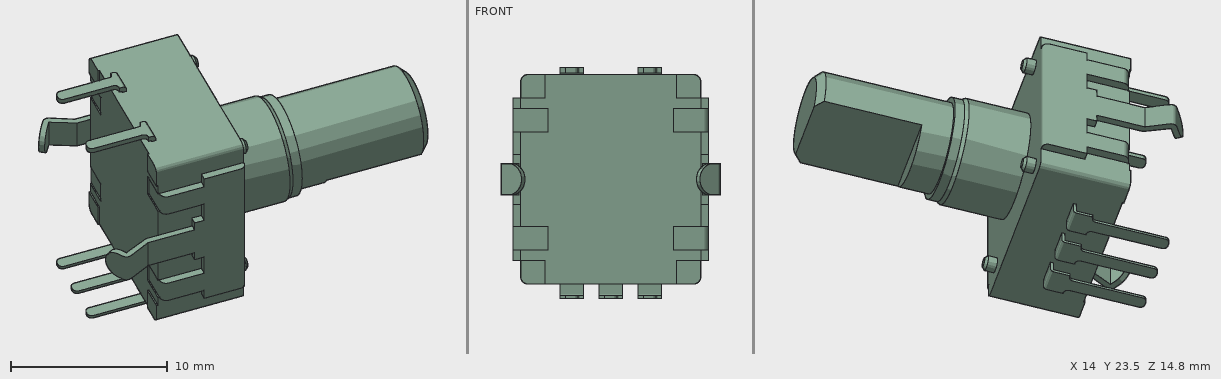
import cadquery as cq
import math


overall_width = 14.0
overall_depth = 23.5

embed = 0.47

shaft_radius = 3.0
shaft_end = 14.0
shaft_chamfer = 0.5
flat_start = 7.0
flat_offset = 1.5
bushing_radius = 3.5
bushing_end = 4.11
collar_radius = 3.35
collar_start = 4.37
collar_end = 5.0

body_width = 11.52
body_height = 13.4
body_depth = 6.0
body_corner_radius = 0.5
pad_rise = 0.1
pad_width = 1.55
base_depth = body_depth - pad_rise

post_radius = 0.5
post_height = 0.8
post_chamfer = 0.19
post_x = 4.2
post_z = 5.1

sheet = 0.5
cover_half_width = body_width / 2 + sheet
cover_half_height = 5.2
cover_edge_radius = 0.4
skirt_depth = 2.91

tab_width = 1.5
tab_z = 3.75
tab_depth = 5.8
tab_inner_x = 4.0
tab_bend_radius = 0.45

leg_width = 2.0
leg_root_width = 3.2
leg_root_depth = 3.57
leg_straight_depth = 6.77
leg_thickness = 0.4
leg_elbow_x = overall_width / 2 - leg_thickness
leg_elbow_y = -8.41
leg_toe_angle = 33.5

pin_end = overall_depth - shaft_end
pin_pitch = 2.5
pin_width = 0.8
pin_root_width = 1.5
pin_neck_radius = 0.28
pin_tip_radius = 0.33


def box(x_range, y_range, z_range):
    """Box between the given limits on each axis."""
    limits = (x_range, y_range, z_range)
    sizes = [high - low for low, high in limits]
    corner = cq.Vector(*[low for low, high in limits])
    return cq.Workplane(cq.Solid.makeBox(*sizes, corner))


def make_shaft():
    """Turned bushing, collar and shaft, with a flat along the free end of the shaft."""
    turned = (
        cq.Workplane("XY")
        .moveTo(0, -embed)
        .lineTo(bushing_radius, -embed)
        .lineTo(bushing_radius, bushing_end)
        .lineTo(collar_radius, collar_start)
        .lineTo(collar_radius, collar_end)
        .lineTo(shaft_radius, collar_end)
        .lineTo(shaft_radius, shaft_end - shaft_chamfer)
        .lineTo(shaft_radius - shaft_chamfer, shaft_end)
        .lineTo(0, shaft_end)
        .close()
        .revolve(360, (0, 0, 0), (0, 1, 0))
    )
    below_flat = box(
        (-shaft_radius, shaft_radius),
        (flat_start, shaft_end),
        (-shaft_radius, -flat_offset),
    )
    return turned.cut(below_flat)


def make_body():
    """Rounded block whose base is sunk except for a pad at each corner."""
    block = (
        cq.Workplane("XZ")
        .rect(body_width, body_height)
        .extrude(body_depth)
        .edges("|Y")
        .fillet(body_corner_radius)
    )
    half_width = body_width / 2
    inner_x = half_width - pad_width
    sunk_y = (-body_depth, -base_depth)
    upright = box((-inner_x, inner_x), sunk_y, (-body_height / 2, body_height / 2))
    across = box((-half_width, half_width), sunk_y, (-cover_half_height, cover_half_height))
    return block.cut(upright).cut(across)


def make_post(x, z):
    """Chamfered locating post standing on the mounting face."""
    return (
        cq.Workplane("XZ", origin=(x, 0, z))
        .circle(post_radius)
        .extrude(-post_height)
        .faces(">Y")
        .chamfer(post_chamfer)
    )


def make_tab(z):
    """Tab on the +X side that runs down the body and folds over its base."""
    return (
        box(
            (tab_inner_x, cover_half_width),
            (-tab_depth, -skirt_depth),
            (z - tab_width / 2, z + tab_width / 2),
        )
        .edges(">X and <Y")
        .fillet(tab_bend_radius)
    )


def make_tab_pocket(z):
    """Space left open under a folded tab in the base of the body."""
    return box(
        (tab_inner_x, cover_half_width),
        (-body_depth, -tab_depth),
        (z - tab_width / 2, z + tab_width / 2),
    )


def make_leg():
    """Snap-in leg on the +X side: straight, bent outwards, then a round toe turned inwards."""
    inner_x = cover_half_width - leg_thickness
    bend_angle = math.atan2(leg_elbow_x - inner_x, -leg_elbow_y - leg_straight_depth)
    toe_angle = math.radians(leg_toe_angle)
    along_toe = cq.Vector(-math.cos(toe_angle), -math.sin(toe_angle), 0)
    across_toe = cq.Vector(math.sin(toe_angle), -math.cos(toe_angle), 0)
    elbow = cq.Vector(leg_elbow_x, leg_elbow_y, 0)
    bend_start = elbow + cq.Vector(math.cos(bend_angle), math.sin(bend_angle), 0) * leg_thickness
    bend_middle = elbow + cq.Vector(leg_thickness, 0, 0)
    bend_end = elbow + across_toe * leg_thickness

    shank = (
        cq.Workplane("XY")
        .moveTo(inner_x, -skirt_depth)
        .lineTo(inner_x, -leg_straight_depth)
        .lineTo(elbow.x, elbow.y)
        .lineTo(bend_end.x, bend_end.y)
        .threePointArc((bend_middle.x, bend_middle.y), (bend_start.x, bend_start.y))
        .lineTo(cover_half_width, -leg_straight_depth)
        .lineTo(cover_half_width, -skirt_depth)
        .close()
        .extrude(leg_width / 2, both=True)
    )

    toe_drop = pin_end + leg_elbow_y - leg_thickness * math.cos(toe_angle)
    toe_length = toe_drop / math.sin(toe_angle)
    half_width = leg_width / 2
    round_start = toe_length - half_width
    toe = (
        cq.Workplane(cq.Plane(elbow, xDir=along_toe, normal=across_toe))
        .moveTo(0, -half_width)
        .lineTo(round_start, -half_width)
        .threePointArc((toe_length, 0), (round_start, half_width))
        .lineTo(0, half_width)
        .close()
        .extrude(leg_thickness)
    )
    root = box(
        (body_width / 2, cover_half_width),
        (-leg_root_depth, -skirt_depth),
        (-leg_root_width / 2, leg_root_width / 2),
    )
    return shank.union(toe).union(root)


def make_cover_skirt():
    """Side skirts of the cover, rounded along their edges at the mounting face."""
    return (
        box(
            (-cover_half_width, cover_half_width),
            (-skirt_depth, 0),
            (-cover_half_height, cover_half_height),
        )
        .edges(">Y and |Z")
        .fillet(cover_edge_radius)
    )


def make_pin(x, thickness, stem_thickness, bend_radii, root_depth, neck_depth, outer_z):
    """Bent terminal: a stem leaves the body towards +Z, then a blade runs towards -Y."""
    half_root = pin_root_width / 2
    half_pin = pin_width / 2
    inside_z = body_height / 2 - embed
    inner_radius, outer_radius = bend_radii
    x_range = (x - half_root, x + half_root)

    bend_inside = (
        box(x_range, (-pin_end, -root_depth - stem_thickness), (inside_z, outer_z - thickness))
        .edges(">Y and >Z")
        .fillet(inner_radius)
    )
    bent_strip = (
        box(x_range, (-pin_end, -root_depth), (inside_z, outer_z))
        .edges(">Y and >Z")
        .fillet(outer_radius)
        .cut(bend_inside)
    )
    neck_x = half_pin + pin_neck_radius
    neck_y = -neck_depth - pin_neck_radius
    diagonal = pin_neck_radius * math.sqrt(0.5)
    tip_y = -pin_end + pin_tip_radius
    tip_x = half_pin - pin_tip_radius
    tip_diagonal = pin_tip_radius * math.sqrt(0.5)
    half_outline = (
        cq.Workplane("XY", origin=(x, 0, 0))
        .moveTo(0, -root_depth)
        .lineTo(half_root, -root_depth)
        .lineTo(half_root, -neck_depth)
        .lineTo(neck_x, -neck_depth)
        .threePointArc((neck_x - diagonal, neck_y + diagonal), (half_pin, neck_y))
        .lineTo(half_pin, tip_y)
        .threePointArc((tip_x + tip_diagonal, tip_y - tip_diagonal), (tip_x, -pin_end))
        .lineTo(0, -pin_end)
        .close()
        .extrude(outer_z)
    )
    outline = half_outline.union(half_outline.mirror("YZ", (x, 0, 0)))
    return bent_strip.intersect(outline)


def make_upper_pin(x):
    """Thick terminal above the body."""
    return make_pin(
        x,
        thickness=0.35,
        stem_thickness=0.28,
        bend_radii=(0.12, 0.3),
        root_depth=5.03,
        neck_depth=5.52,
        outer_z=7.15,
    )


def make_lower_pin(x):
    """Thin terminal below the body."""
    pin = make_pin(
        x,
        thickness=0.2,
        stem_thickness=0.2,
        bend_radii=(0.05, 0.24),
        root_depth=2.91,
        neck_depth=4.23,
        outer_z=7.61,
    )
    return pin.mirror("XY")


result = make_body()
for tab_position in (-tab_z, tab_z):
    pocket = make_tab_pocket(tab_position)
    result = result.cut(pocket).cut(pocket.mirror("YZ"))

result = result.union(make_cover_skirt()).union(make_shaft())

side_parts = [make_leg(), make_tab(-tab_z), make_tab(tab_z)]
for side_part in side_parts:
    result = result.union(side_part).union(side_part.mirror("YZ"))

for x in (-post_x, post_x):
    for z in (-post_z, post_z):
        result = result.union(make_post(x, z))

for x in (-pin_pitch, 0, pin_pitch):
    result = result.union(make_lower_pin(x))

for x in (-pin_pitch, pin_pitch):
    result = result.union(make_upper_pin(x))